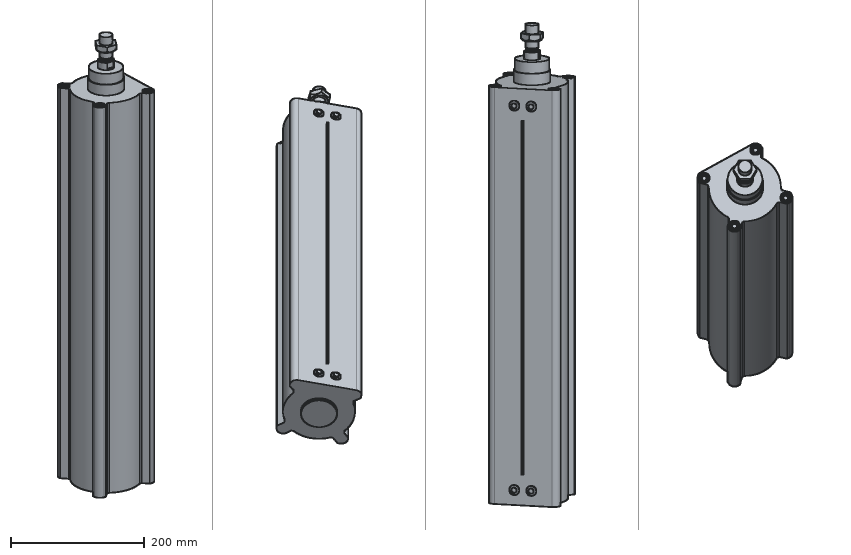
import cadquery as cq
import math

total_height = 731.5
pilot_height = 4.5
pilot_bevel = 1.0
barrel_top = 644
collar_step = 661.0
collar_top = 679.0

half_width = 55.0
barrel_radius = 54.0
ear_offset = 44.5
ear_radius = half_width - ear_offset
ear_flat_end = 41.0
rounded_sides = (0, 1, 2)
shelf_depth = 46.0
shelf_ear_end = ear_flat_end - (half_width - shelf_depth)
shelf_barrel_end = math.sqrt(barrel_radius**2 - shelf_depth**2)

seat_steps = ((16.0, 1.5), (12.0, 2.0), (7, 3.0))

collar_diameter = 55.0
collar_slim_diameter = 52.0

rail_width = 3.0
rail_height = 5.0
rail_bevel = 1.0
rail_bottom = 53.0
rail_top = 595.0
boss_offset = 13.0
boss_base_diameter = 15.0
boss_tip_diameter = 8.0
boss_base_height = 1.5
boss_height = 4.0
boss_levels = (28.0, 617.5)

rod_diameter = 25.0
rod_flat_width = 22
rod_flat_bottom = 681.0
rod_shoulder = 690.5
neck_diameter = 18.0
thread_diameter = 20.0
thread_bottom = 696.5
neck_slope_height = 2.0

nut_width = 30.0
nut_bottom = 707.0
nut_height = 11.0
nut_bevel = 4.0
nut_corner_diameter = nut_width / math.cos(math.pi / 6)


def cylinder(diameter, bottom, top):
    """Solid cylinder on the Z axis between two heights."""
    return cq.Workplane("XY").workplane(offset=bottom).circle(diameter / 2).extrude(top - bottom)


def turned(point, quarter_turns):
    """Point turned clockwise about the axis by a number of quarter turns."""
    x, y = point
    for _ in range(quarter_turns):
        x, y = y, -x
    return x, y


def barrel_outline():
    """Round barrel with one flat side (+Y) and four rounded tie-rod ears."""
    ear_arc_middle = ear_offset + ear_radius * math.sqrt(0.5)
    outline = cq.Workplane("XY", origin=(0, 0, pilot_height))
    outline = outline.moveTo(-ear_offset, half_width).lineTo(ear_offset, half_width)
    for side in rounded_sides:
        outline = (
            outline.threePointArc(
                turned((ear_arc_middle, ear_arc_middle), side), turned((half_width, ear_offset), side)
            )
            .lineTo(*turned((half_width, ear_flat_end), side))
            .lineTo(*turned((shelf_depth, shelf_ear_end), side))
            .lineTo(*turned((shelf_depth, shelf_barrel_end), side))
            .threePointArc(turned((barrel_radius, 0), side), turned((shelf_depth, -shelf_barrel_end), side))
            .lineTo(*turned((shelf_depth, -shelf_ear_end), side))
            .lineTo(*turned((half_width, -ear_flat_end), side))
            .lineTo(*turned((half_width, -ear_offset), side))
        )
    last_arc_middle = (-ear_arc_middle, ear_arc_middle)
    return outline.threePointArc(last_arc_middle, (-ear_offset, half_width)).close()


def cushion_boss(x, z):
    """Stepped round boss standing on the +Y face."""
    face = cq.Workplane("XZ", origin=(x, half_width, z))
    base = face.circle(boss_base_diameter / 2).extrude(-boss_base_height)
    tip = face.circle(boss_tip_diameter / 2).extrude(-boss_height)
    return base.union(tip)


def sensor_rail():
    """Slim rail along the +Y face with bevelled outer edges."""
    length = rail_top - rail_bottom
    rail = cq.Workplane("XY", origin=(0, half_width, rail_bottom)).box(
        rail_width, rail_height, length, centered=(True, False, False)
    )
    return rail.faces(">Y").edges("|Z").chamfer(rail_bevel)


def make_housing():
    """Barrel with pilot, collar, rail, bosses and a socket for the rod."""
    body = barrel_outline().extrude(barrel_top - pilot_height)
    pilot = cylinder(collar_diameter, 0, pilot_height).faces("<Z").chamfer(pilot_bevel)
    body = body.union(pilot)
    body = body.union(cylinder(collar_diameter, barrel_top, collar_step))
    body = body.union(cylinder(collar_slim_diameter, collar_step, collar_top))

    body = body.union(sensor_rail())
    for level in boss_levels:
        for side in (-1, 1):
            body = body.union(cushion_boss(side * boss_offset, level))

    top_face = cq.Workplane("XY", origin=(0, 0, barrel_top))
    ears = top_face.rect(2 * ear_offset, 2 * ear_offset, forConstruction=True).vertices()
    for diameter, depth in seat_steps:
        body = body.cut(ears.circle(diameter / 2).extrude(-depth))

    return body.cut(cylinder(rod_diameter, barrel_top, collar_top))


def make_rod():
    """Piston rod with wrench flats, an undercut neck and a threaded end."""
    rod = (
        cq.Workplane("XZ")
        .moveTo(0, barrel_top)
        .lineTo(rod_diameter / 2, barrel_top)
        .lineTo(rod_diameter / 2, rod_shoulder)
        .lineTo(thread_diameter / 2, rod_shoulder)
        .lineTo(neck_diameter / 2, rod_shoulder + neck_slope_height)
        .lineTo(neck_diameter / 2, thread_bottom - neck_slope_height)
        .lineTo(thread_diameter / 2, thread_bottom)
        .lineTo(thread_diameter / 2, total_height)
        .lineTo(0, total_height)
        .close()
        .revolve(360, (0, 0), (0, 1))
    )
    flat_height = rod_shoulder - rod_flat_bottom
    for side in (-1, 1):
        waste = cq.Workplane("XY", origin=(side * rod_flat_width, 0, rod_flat_bottom)).box(
            rod_flat_width, rod_diameter, flat_height, centered=(True, True, False)
        )
        rod = rod.cut(waste)
    return rod


def make_nut():
    """Hexagon nut with corners along Y, bevelled at its underside."""
    nut = (
        cq.Workplane("XY", origin=(0, 0, nut_bottom))
        .transformed(rotate=(0, 0, 90))
        .polygon(6, nut_corner_diameter)
        .extrude(nut_height)
    )
    nut_top = nut_bottom + nut_height
    blank = cylinder(nut_corner_diameter, nut_bottom, nut_top).faces("<Z").chamfer(nut_bevel)
    hole = cylinder(thread_diameter, nut_bottom, nut_top)
    return nut.intersect(blank).cut(hole)


housing = make_housing()
rod = make_rod()
nut = make_nut()

result = cq.Compound.makeCompound([housing.val(), rod.val(), nut.val()])